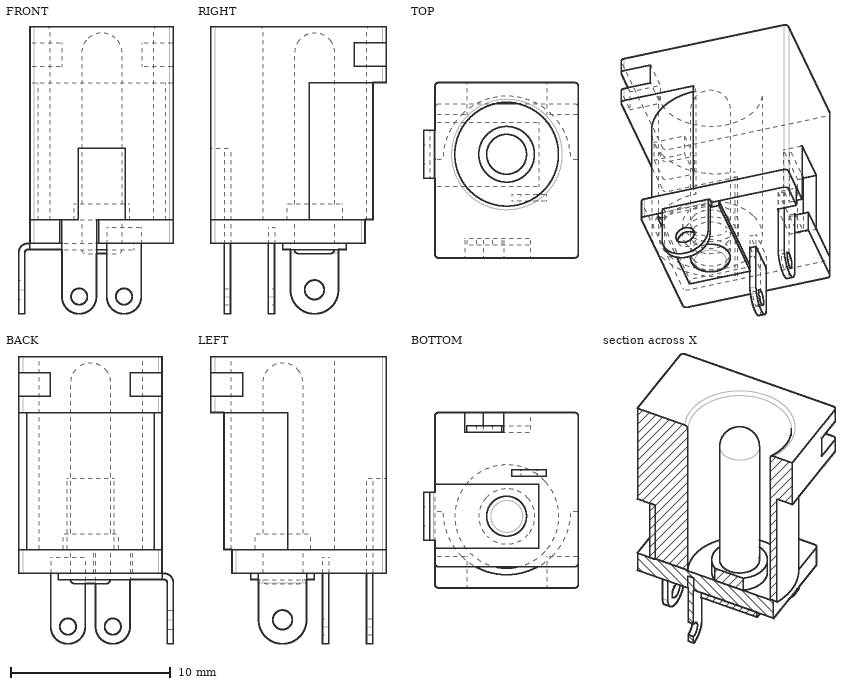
import cadquery as cq


TOTAL_HEIGHT = 18
LUG_DROP = 4.43
WIDTH = 9
FRONT_Y = -6.5
BACK_Y = 4.5
TOP_Z = TOTAL_HEIGHT - LUG_DROP
CORNER_RADIUS = 0.25
SHEET = 0.4

BASE_THICKNESS = 1.48
BASE_BACK_Y = 3.17

HEAD_HEIGHT = 3.51
BARREL_RADIUS = 4.0
BARREL_CENTER_Y = -0.32
BORE_DIAMETER = 6.5
BORE_RIM_FILLET = 0.22
CORNER_NOTCH = 2.0
CORNER_NOTCH_HEIGHT = 1.5
WINDOW_WIDTH = 2.95
WINDOW_HEIGHT = 4.48

LUG_WIDTH = 2.18
LUG_HOLE_DIAMETER = 1.0
LUG_OFFSET_X = 1.4
FRONT_CONTACT_Y = -5.65
MIDDLE_CONTACT_Y = -2.9
MIDDLE_CONTACT_DEPTH = 1.0
BASE_SLOT_WIDTH = 2.45
WINDOW_BACK_Y = FRONT_CONTACT_Y + SHEET

PIN_DIAMETER = 2.5
PIN_TOP_GAP = 0.38
COLLAR_DIAMETER = 3.5
COLLAR_HEIGHT = 1.0
PLATE_WIDTH = 4.0
BEND_RADIUS = 0.6
BEND_GAP = 0.1
RIVET_HEIGHT = 0.25
SIDE_LUG_WIDTH = 3.02
SIDE_LUG_HOLE_DIAMETER = 1.2


def block(x_min, x_max, y_min, y_max, z_min, z_max):
    """Box between the given limits."""
    size = (x_max - x_min, y_max - y_min, z_max - z_min)
    return cq.Workplane("XY").box(*size, centered=False).translate((x_min, y_min, z_min))


def full_width_block(back_y, z_min, z_max):
    """Box across the whole width, from the front face to back_y."""
    return block(-WIDTH / 2, WIDTH / 2, FRONT_Y, back_y, z_min, z_max)


def cylinder(diameter, z_min, z_max):
    """Cylinder on the pin axis."""
    return cq.Workplane("XY").workplane(offset=z_min).circle(diameter / 2).extrude(z_max - z_min)


def lug(width, hole_diameter, top_z):
    """Flat lug in the XZ plane with a round, drilled tip; it is one sheet thick toward +Y."""
    radius = width / 2
    center_z = radius - LUG_DROP
    return (
        cq.Workplane("XZ")
        .moveTo(-radius, top_z)
        .lineTo(-radius, center_z)
        .threePointArc((0, -LUG_DROP), (radius, center_z))
        .lineTo(radius, top_z)
        .close()
        .moveTo(0, center_z)
        .circle(hole_diameter / 2)
        .extrude(-SHEET)
    )


def make_housing():
    head_z = TOP_Z - HEAD_HEIGHT
    head = full_width_block(BACK_Y, head_z, TOP_Z).edges("|Z").fillet(CORNER_RADIUS)
    body = full_width_block(BARREL_CENTER_Y, BASE_THICKNESS, TOP_Z)
    body = body.edges("|Z and <Y").fillet(CORNER_RADIUS)
    barrel = cylinder(2 * BARREL_RADIUS, BASE_THICKNESS, TOP_Z).translate((0, BARREL_CENTER_Y, 0))
    housing = body.union(head).union(barrel)

    housing = housing.cut(cylinder(BORE_DIAMETER, BASE_THICKNESS, TOP_Z))
    rim = cq.selectors.RadiusNthSelector(-1)
    housing = housing.faces(">Z").edges("%CIRCLE").edges(rim).fillet(BORE_RIM_FILLET)

    notch_z = TOP_Z - (HEAD_HEIGHT - CORNER_NOTCH_HEIGHT) / 2
    notch = block(
        -WIDTH / 2, CORNER_NOTCH - WIDTH / 2, BACK_Y - CORNER_NOTCH, BACK_Y,
        notch_z - CORNER_NOTCH_HEIGHT, notch_z,
    )
    housing = housing.cut(notch).cut(notch.mirror("YZ"))

    return housing.cut(
        block(
            -WINDOW_WIDTH / 2, WINDOW_WIDTH / 2, FRONT_Y, WINDOW_BACK_Y,
            BASE_THICKNESS, BASE_THICKNESS + WINDOW_HEIGHT,
        )
    )


def make_base(middle_contact):
    base = full_width_block(BASE_BACK_Y, 0, BASE_THICKNESS).edges("|Z").fillet(CORNER_RADIUS)
    slot = block(
        -BASE_SLOT_WIDTH / 2, BASE_SLOT_WIDTH / 2, FRONT_Y, WINDOW_BACK_Y, 0, BASE_THICKNESS
    ).translate((-LUG_OFFSET_X, 0, 0))
    pin_hole = cylinder(PIN_DIAMETER, 0, BASE_THICKNESS)
    return base.cut(slot).cut(pin_hole).cut(middle_contact)


def make_front_contact():
    """Lug below the base with a blade that fills the back of the housing window."""
    blade = block(
        -WINDOW_WIDTH / 2, WINDOW_WIDTH / 2, FRONT_CONTACT_Y, WINDOW_BACK_Y,
        BASE_THICKNESS, BASE_THICKNESS + WINDOW_HEIGHT,
    )
    front_lug = lug(LUG_WIDTH, LUG_HOLE_DIAMETER, BASE_THICKNESS)
    return blade.union(front_lug.translate((-LUG_OFFSET_X, FRONT_CONTACT_Y, 0)))


def make_middle_contact():
    middle_lug = lug(LUG_WIDTH, LUG_HOLE_DIAMETER, MIDDLE_CONTACT_DEPTH)
    return middle_lug.translate((LUG_OFFSET_X, MIDDLE_CONTACT_Y, 0))


def make_center_contact():
    """Pin riveted to a plate under the base, with a lug bent down at the side."""
    pin_radius = PIN_DIAMETER / 2
    collar_radius = COLLAR_DIAMETER / 2
    collar_top_z = BASE_THICKNESS + COLLAR_HEIGHT
    tip_z = TOP_Z - PIN_TOP_GAP
    rivet_z = -SHEET - RIVET_HEIGHT
    pin = (
        cq.Workplane("XZ")
        .moveTo(0, rivet_z)
        .lineTo(pin_radius - RIVET_HEIGHT, rivet_z)
        .radiusArc((pin_radius, -SHEET), -RIVET_HEIGHT)
        .lineTo(pin_radius, BASE_THICKNESS)
        .lineTo(collar_radius, BASE_THICKNESS)
        .lineTo(collar_radius, collar_top_z)
        .lineTo(pin_radius, collar_top_z)
        .lineTo(pin_radius, tip_z - pin_radius)
        .radiusArc((0, tip_z), -pin_radius)
        .close()
        .revolve(360, (0, 0, 0), (0, 1, 0))
    )

    bend_x = -WIDTH / 2 - BEND_GAP
    plate = block(-WIDTH / 2, PLATE_WIDTH / 2, -PLATE_WIDTH / 2, PLATE_WIDTH / 2, -SHEET, 0)
    strip = block(bend_x, 0, -SIDE_LUG_WIDTH / 2, SIDE_LUG_WIDTH / 2, -SHEET, 0)
    bend = (
        cq.Workplane("XZ", origin=(bend_x, SIDE_LUG_WIDTH / 2, 0))
        .moveTo(0, 0)
        .radiusArc((-BEND_RADIUS, -BEND_RADIUS), -BEND_RADIUS)
        .lineTo(SHEET - BEND_RADIUS, -BEND_RADIUS)
        .radiusArc((0, -SHEET), BEND_RADIUS - SHEET)
        .close()
        .extrude(SIDE_LUG_WIDTH)
    )
    side_lug = (
        lug(SIDE_LUG_WIDTH, SIDE_LUG_HOLE_DIAMETER, -BEND_RADIUS)
        .rotate((0, 0, 0), (0, 0, 1), -90)
        .translate((bend_x - BEND_RADIUS, 0, 0))
    )
    return pin.union(plate).union(strip).union(bend).union(side_lug)


housing = make_housing()
middle_contact = make_middle_contact()
base = make_base(middle_contact)
front_contact = make_front_contact()
center_contact = make_center_contact()

result = cq.Compound.makeCompound(
    [
        housing.val(),
        base.val(),
        front_contact.val(),
        middle_contact.val(),
        center_contact.val(),
    ]
)